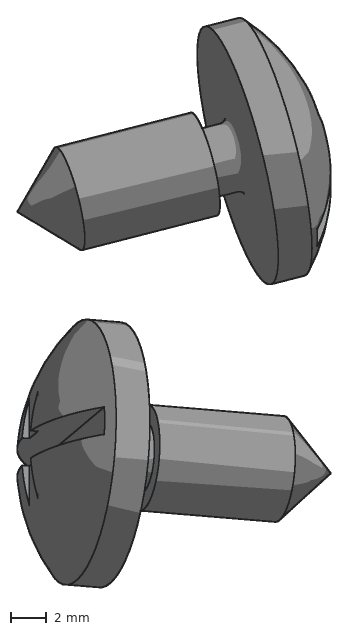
import cadquery as cq
import math

head_diameter = 15.0
rim_thickness = 2.0
dome_height = 3.0
neck_diameter = 3.97
neck_length = 2.0
neck_fillet = 0.54
shank_diameter = 6.0
shank_length = 8.0
slot_width = 1.6
slot_depth = 2.5
cross_slot_depth = 0.49
overall_length = 17.97

head_radius = head_diameter / 2
neck_radius = neck_diameter / 2
shank_radius = shank_diameter / 2
dome_radius = (head_radius**2 + dome_height**2) / (2 * dome_height)

crown_loss = dome_radius - math.sqrt(dome_radius**2 - 2 * (slot_width / 2) ** 2)
crown_y = overall_length + crown_loss

rim_top_y = crown_y - dome_height
head_base_y = rim_top_y - rim_thickness
shank_top_y = head_base_y - neck_length
cone_base_y = shank_top_y - shank_length

dome_center_y = crown_y - dome_radius
half_angle = math.asin(head_radius / dome_radius) / 2
dome_mid = (dome_radius * math.sin(half_angle), dome_center_y + dome_radius * math.cos(half_angle))

fillet_inset = neck_fillet * (1 - math.sqrt(0.5))
fillet_mid = (neck_radius + fillet_inset, head_base_y - fillet_inset)


def revolved_body():
    """Pointed shank, undercut neck and domed head as one revolution."""
    return (
        cq.Workplane("XY")
        .moveTo(0, 0)
        .lineTo(shank_radius, cone_base_y)
        .lineTo(shank_radius, shank_top_y)
        .lineTo(neck_radius, shank_top_y)
        .lineTo(neck_radius, head_base_y - neck_fillet)
        .threePointArc(fillet_mid, (neck_radius + neck_fillet, head_base_y))
        .lineTo(head_radius, head_base_y)
        .lineTo(head_radius, rim_top_y)
        .threePointArc(dome_mid, (0, crown_y))
        .close()
        .revolve(360, (0, 0, 0), (0, 1, 0))
    )


def slot_cutter(x_size, z_size, depth):
    """Box that cuts down from the crown to the given depth."""
    return cq.Workplane("XY").box(x_size, 2 * depth, z_size).translate((0, crown_y, 0))


main_slot = slot_cutter(head_diameter, slot_width, slot_depth)
cross_slot = slot_cutter(slot_width, head_diameter, cross_slot_depth)

result = revolved_body().cut(main_slot).cut(cross_slot)